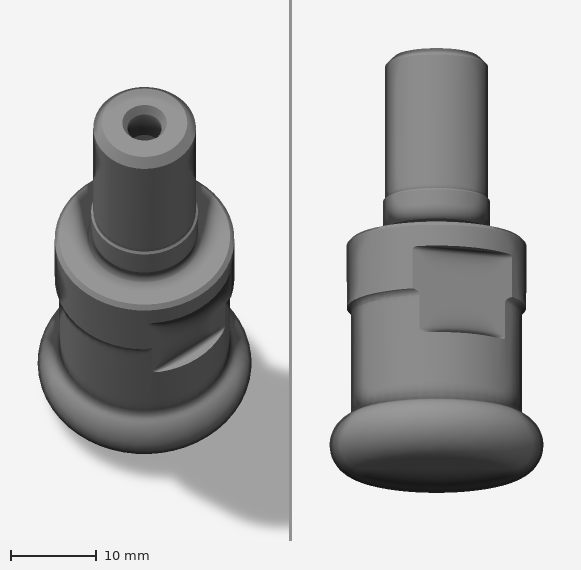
import cadquery as cq
import math

TOTAL_HEIGHT = 50.0

PIN_RADIUS = 6.0
PIN_CHAMFER = 1.0
SEAT_RADIUS = 6.25
SEAT_TOP = 33.0
SEAT_BOTTOM = 29.25
SEAT_CHAMFER = SEAT_RADIUS - PIN_RADIUS

UNDERCUT_RADIUS = 0.5
UNDERCUT_DEPTH = 0.1
UNDERCUT_OUTER_RADIUS = 6.75

COLLAR_RADIUS = 10.5
COLLAR_TOP = 28.0
COLLAR_BOTTOM = 20.0
COLLAR_CHAMFER = 0.5
SLEEVE_RADIUS = 10.0
COLLAR_FILLET = 0.75

FLAT_DISTANCE = 16.9
FLAT_TOP = 25.0
FLAT_BOTTOM = 14.75
FLAT_FILLET = 0.4

HOLE_RADIUS = 2.0
HOLE_DEPTH = 5.0
DRILL_POINT_ANGLE = 118.0
COUNTERSINK_RADIUS = 2.6
COUNTERSINK_ANGLE = 60.0

KNOB_RADIUS = 12.5
RIM_RADIUS = 3.5
NECK_FILLET = 1.0

RIM_CENTER_R = KNOB_RADIUS - RIM_RADIUS
NECK_CENTER_R = SLEEVE_RADIUS + NECK_FILLET
CENTER_OFFSET_R = NECK_CENTER_R - RIM_CENTER_R
KNOB_TOP = RIM_RADIUS + math.sqrt((RIM_RADIUS + NECK_FILLET) ** 2 - CENTER_OFFSET_R**2)


def revolve(profile):
    """Turn a closed (radius, height) profile around the Z axis."""
    return profile.close().revolve(360, (0, 0, 0), (0, 1, 0))


def arc_point(center, radius, degrees):
    angle = math.radians(degrees)
    return (center[0] + radius * math.cos(angle), center[1] + radius * math.sin(angle))


def make_turned_body():
    """Pin, seat, undercut, collar and sleeve as one turned shape."""
    fillet_center = (SLEEVE_RADIUS + COLLAR_FILLET, COLLAR_BOTTOM - COLLAR_FILLET)
    fillet_end = math.degrees(math.acos((COLLAR_RADIUS - fillet_center[0]) / COLLAR_FILLET))
    undercut_floor = COLLAR_TOP - UNDERCUT_DEPTH
    undercut_center = (PIN_RADIUS + UNDERCUT_RADIUS, undercut_floor + UNDERCUT_RADIUS)
    profile = (
        cq.Workplane("XZ")
        .moveTo(0, KNOB_TOP)
        .lineTo(SLEEVE_RADIUS, KNOB_TOP)
        .lineTo(*arc_point(fillet_center, COLLAR_FILLET, 180))
        .threePointArc(
            arc_point(fillet_center, COLLAR_FILLET, (180 + fillet_end) / 2),
            arc_point(fillet_center, COLLAR_FILLET, fillet_end),
        )
        .lineTo(COLLAR_RADIUS, COLLAR_TOP - COLLAR_CHAMFER)
        .lineTo(COLLAR_RADIUS - COLLAR_CHAMFER, COLLAR_TOP)
        .lineTo(UNDERCUT_OUTER_RADIUS, COLLAR_TOP)
        .lineTo(undercut_center[0], undercut_floor)
        .threePointArc(
            arc_point(undercut_center, UNDERCUT_RADIUS, 225),
            (PIN_RADIUS, undercut_center[1]),
        )
        .lineTo(PIN_RADIUS, SEAT_BOTTOM - SEAT_CHAMFER)
        .lineTo(SEAT_RADIUS, SEAT_BOTTOM)
        .lineTo(SEAT_RADIUS, SEAT_TOP - SEAT_CHAMFER)
        .lineTo(PIN_RADIUS, SEAT_TOP)
        .lineTo(PIN_RADIUS, TOTAL_HEIGHT - PIN_CHAMFER)
        .lineTo(PIN_RADIUS - PIN_CHAMFER, TOTAL_HEIGHT)
        .lineTo(0, TOTAL_HEIGHT)
    )
    return revolve(profile)


def make_center_hole():
    """Countersunk blind hole with a drill point."""
    hole_bottom = TOTAL_HEIGHT - HOLE_DEPTH
    point_height = HOLE_RADIUS / math.tan(math.radians(DRILL_POINT_ANGLE / 2))
    countersink_depth = (COUNTERSINK_RADIUS - HOLE_RADIUS) / math.tan(math.radians(COUNTERSINK_ANGLE / 2))
    profile = (
        cq.Workplane("XZ")
        .moveTo(0, hole_bottom - point_height)
        .lineTo(HOLE_RADIUS, hole_bottom)
        .lineTo(HOLE_RADIUS, TOTAL_HEIGHT - countersink_depth)
        .lineTo(COUNTERSINK_RADIUS, TOTAL_HEIGHT)
        .lineTo(0, TOTAL_HEIGHT)
    )
    return revolve(profile)


def make_flat_cutter(side):
    """Block that cuts the flat on the -X (side = -1) or +X (side = 1) face."""
    depth = KNOB_RADIUS - FLAT_DISTANCE / 2
    height = FLAT_TOP - FLAT_BOTTOM
    block = cq.Workplane("XY").box(depth, 2 * KNOB_RADIUS, height)
    inner_face = "<X" if side > 0 else ">X"
    block = block.faces(inner_face).edges("|Y").fillet(FLAT_FILLET)
    center_x = side * (FLAT_DISTANCE + depth) / 2
    return block.translate((center_x, 0, FLAT_BOTTOM + height / 2))


def make_plunger():
    body = make_turned_body().cut(make_center_hole())
    for side in (-1, 1):
        body = body.cut(make_flat_cutter(side))
    return body


def make_knob():
    """Round-rimmed knob whose filleted neck meets the end of the sleeve."""
    rim_center = (RIM_CENTER_R, RIM_RADIUS)
    neck_center = (NECK_CENTER_R, KNOB_TOP)
    tangent_angle = math.degrees(math.atan2(KNOB_TOP - RIM_RADIUS, CENTER_OFFSET_R))
    profile = (
        cq.Workplane("XZ")
        .moveTo(0, 0)
        .lineTo(RIM_CENTER_R, 0)
        .threePointArc((KNOB_RADIUS, RIM_RADIUS), arc_point(rim_center, RIM_RADIUS, tangent_angle))
        .threePointArc(
            arc_point(neck_center, NECK_FILLET, 180 + tangent_angle / 2),
            (SLEEVE_RADIUS, KNOB_TOP),
        )
        .lineTo(0, KNOB_TOP)
    )
    return revolve(profile)


plunger = make_plunger()
knob = make_knob()

result = cq.Compound.makeCompound([plunger.val(), knob.val()])